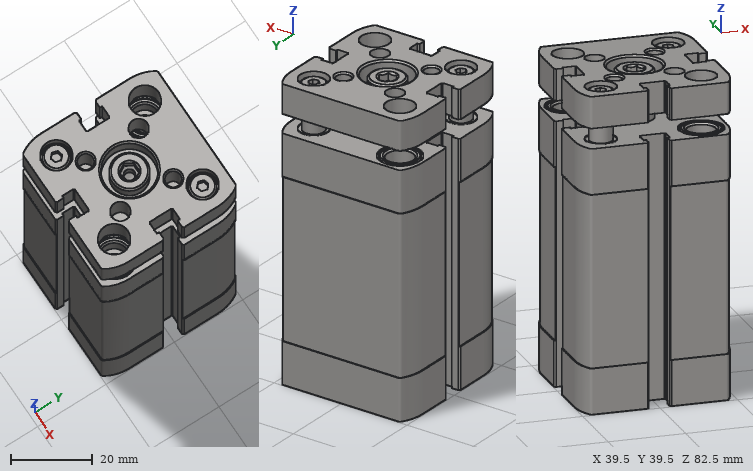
import cadquery as cq
import math

total_height = 82.5
width = 39.5
housing_height = 69.0
cap_height = 12.0
plate_thickness = 8.25
barrel_inset = 0.25
plate_bottom = total_height - plate_thickness

corner_radius = 12.0
corner_flat_end = 13.0
corner_fillet = 0.8
slot_neck_width = 5.45
slot_inner_width = 6.8
slot_neck_depth = 2.3
slot_depth = 5.8
slot_bevel = 0.4
slot_floor_bevel = 0.25
slot_directions = (-90, 0, 180)

rod_offset = 12.95
dowel_offset = 7.75
rod_corners = ((-1, -1), (1, 1))
mount_corners = ((-1, 1), (1, -1))

piston_rod_diameter = 10.0
piston_rod_top_diameter = 9.0
piston_rod_drop = 0.9
flats_width = 9.0
flats_gap = 1.15
guide_rod_diameter = 6.0
rod_engagement = cap_height
recess_diameter = 14.0
recess_chamfer = 0.5
recess_depth = 4.95
socket_mouth_diameter = 5.5
socket_corner_diameter = 5.0
socket_depth = 2.3
pilot_diameter = 3.0
pilot_depth = 1.65
drill_half_angle = math.radians(59)
plate_hole_diameter = 8.0
screw_head_diameter = 7.0
screw_head_chamfer = 0.5
screw_head_drop = 0.9
screw_recess_depth = 2.5
screw_socket_diameter = 3.0
screw_socket_depth = 1.65
screw_socket_turn = 15
dowel_diameter = 5.0
tapped_diameter = 4.1
tapped_chamfer = (dowel_diameter - tapped_diameter) / 2

mount_groove_diameter = 11.5
mount_collar_diameter = 10.5
mount_groove_depth = 0.3
mount_bore_diameter = 7.5
mount_bore_chamfer = 0.5
mount_bore_depth = 4.95
mount_thread_mouth = 5.0
mount_thread_diameter = 4.1
rod_seal_diameter = 8.0
rod_seal_depth = 0.25


def at_corners(corners, offset):
    return [(sx * offset, sy * offset) for sx, sy in corners]


def cylinder(diameter, bottom, top, points=((0, 0),)):
    """Upright cylinders between two heights, one at each point."""
    return (
        cq.Workplane("XY").workplane(offset=bottom).pushPoints(list(points))
        .circle(diameter / 2).extrude(top - bottom)
    )


def cone(bottom_diameter, top_diameter, bottom, top, points=((0, 0),)):
    """Upright cone frustums between two heights, one at each point."""
    axis = cq.Vector(0, 0, 1)
    frustums = cq.Workplane("XY")
    for x, y in points:
        base = cq.Vector(x, y, bottom)
        frustums = frustums.add(
            cq.Solid.makeCone(bottom_diameter / 2, top_diameter / 2, top - bottom, base, axis)
        )
    return frustums.combine()


def hexagon(corner_diameter, bottom, top, points, turn=0):
    """Upright hexagonal prisms between two heights, each turned about its own axis."""
    prisms = cq.Workplane("XY")
    for x, y in points:
        prism = (
            cq.Workplane("XY").workplane(offset=bottom)
            .polygon(6, corner_diameter).extrude(top - bottom)
            .rotate((0, 0, 0), (0, 0, 1), turn).translate((x, y, 0))
        )
        prisms = prisms.add(prism.val())
    return prisms.combine()


def slot(bottom, top, direction):
    """Space of one T-slot that opens at the side facing the given direction."""
    side = width / 2
    neck = slot_neck_width / 2
    inner = slot_inner_width / 2
    floor = side - slot_depth
    ledge = side - slot_neck_depth
    half = [
        (floor, inner - slot_floor_bevel),
        (floor + slot_floor_bevel, inner),
        (ledge, inner),
        (ledge, neck),
        (side - slot_bevel, neck),
        (side, neck + slot_bevel),
        (side + slot_bevel, neck + slot_bevel),
    ]
    outline = half + [(x, -y) for x, y in reversed(half)]
    return (
        cq.Workplane("XY").workplane(offset=bottom).polyline(outline).close()
        .extrude(top - bottom).rotate((0, 0, 0), (0, 0, 1), direction)
    )


def profile_block(bottom, top, inset=0.0):
    """Slotted block between two heights, its sides set back by the inset."""
    side = width / 2 - inset
    arc_center_x = side - corner_radius
    full_turn = math.asin((side - corner_flat_end) / corner_radius)
    corner_x = arc_center_x + corner_radius * math.cos(full_turn)
    mid_x = arc_center_x + corner_radius * math.cos(full_turn / 2)
    mid_y = corner_flat_end + corner_radius * math.sin(full_turn / 2)
    block = (
        cq.Workplane("XY").workplane(offset=bottom)
        .moveTo(side, -corner_flat_end)
        .lineTo(side, corner_flat_end)
        .threePointArc((mid_x, mid_y), (corner_x, side))
        .lineTo(-corner_x, side)
        .threePointArc((-mid_x, mid_y), (-side, corner_flat_end))
        .lineTo(-side, -corner_flat_end)
        .threePointArc((-mid_x, -mid_y), (-corner_x, -side))
        .lineTo(corner_x, -side)
        .threePointArc((mid_x, -mid_y), (side, -corner_flat_end))
        .close().extrude(top - bottom)
    )
    block = block.faces("<Y or >Y").edges("|Z").fillet(corner_fillet)
    for direction in slot_directions:
        block = block.cut(slot(bottom, top, direction))
    return block


def make_housing():
    top = housing_height
    upper_cap_bottom = top - cap_height
    body = (
        profile_block(0, cap_height)
        .union(profile_block(cap_height, upper_cap_bottom, barrel_inset))
        .union(profile_block(upper_cap_bottom, top))
    )

    rods = at_corners(rod_corners, rod_offset)
    rod_bottom = top - rod_engagement
    body = body.cut(cylinder(piston_rod_diameter, rod_bottom, top))
    body = body.cut(cylinder(guide_rod_diameter, rod_bottom, top, rods))
    body = body.cut(cylinder(rod_seal_diameter, top - rod_seal_depth, top, rods))

    mounts = at_corners(mount_corners, rod_offset)
    bore_bottom = top - mount_bore_depth
    thread_start = bore_bottom - (mount_thread_mouth - mount_thread_diameter) / 2
    bore_rim = mount_bore_diameter + 2 * mount_bore_chamfer
    groove_floor = top - mount_groove_depth
    collar_top_diameter = mount_collar_diameter - 2 * mount_groove_depth
    groove = cylinder(mount_groove_diameter, groove_floor, top, mounts).cut(
        cone(mount_collar_diameter, collar_top_diameter, groove_floor, top, mounts)
    )
    body = body.cut(groove)
    body = body.cut(cone(mount_bore_diameter, bore_rim, top - mount_bore_chamfer, top, mounts))
    body = body.cut(cylinder(mount_bore_diameter, bore_bottom, top, mounts))
    body = body.cut(
        cone(mount_thread_diameter, mount_thread_mouth, thread_start, bore_bottom, mounts)
    )
    return body.cut(cylinder(mount_thread_diameter, 0, bore_bottom, mounts))


def make_piston_rod():
    top = total_height - piston_rod_drop
    bottom = housing_height - rod_engagement
    top_chamfer = (piston_rod_diameter - piston_rod_top_diameter) / 2
    rod = cylinder(piston_rod_diameter, bottom, top).faces(">Z").chamfer(top_chamfer)

    flats_bottom = housing_height + flats_gap
    for side in (-1, 1):
        flat = cq.Workplane("XY").box(
            piston_rod_diameter, piston_rod_diameter, plate_bottom - flats_bottom,
            centered=(True, True, False),
        )
        shift = side * (flats_width + piston_rod_diameter) / 2
        rod = rod.cut(flat.translate((0, shift, flats_bottom)))
    return rod


def cut_rod_socket(body):
    """Hexagon socket in the rod end, with a conical floor and a pilot hole below it."""
    top = total_height - piston_rod_drop
    floor = top - socket_depth
    flats_across = socket_corner_diameter * math.cos(math.pi / 6)
    mouth_chamfer = (socket_mouth_diameter - flats_across) / 2
    socket_slope = socket_corner_diameter / 2 / math.tan(drill_half_angle)
    pilot_slope = pilot_diameter / 2 / math.tan(drill_half_angle)
    pilot_floor = floor - socket_slope - pilot_depth
    hex_prism = hexagon(socket_corner_diameter, floor - socket_slope, top, [(0, 0)])
    drill = cylinder(socket_corner_diameter, floor, top).union(
        cone(0, socket_corner_diameter, floor - socket_slope, floor)
    )
    body = body.cut(hex_prism.intersect(drill))
    body = body.cut(cone(flats_across, socket_mouth_diameter, top - mouth_chamfer, top))
    body = body.cut(cylinder(pilot_diameter, pilot_floor, floor))
    return body.cut(cone(0, pilot_diameter, pilot_floor - pilot_slope, pilot_floor))


def make_screw_heads(points):
    top = total_height - screw_head_drop
    heads = cylinder(screw_head_diameter, total_height - screw_recess_depth, top, points)
    heads = heads.faces(">Z").chamfer(screw_head_chamfer)
    socket_floor = top - screw_socket_depth
    sockets = hexagon(screw_socket_diameter, socket_floor, top, points, screw_socket_turn)
    return heads.cut(sockets)


def make_plunger():
    top = total_height
    rods = at_corners(rod_corners, rod_offset)
    plate = profile_block(plate_bottom, top)

    recess_rim = recess_diameter + 2 * recess_chamfer
    plate = plate.cut(cylinder(recess_diameter, top - recess_depth, top))
    plate = plate.cut(cone(recess_diameter, recess_rim, top - recess_chamfer, top))

    mounts = at_corners(mount_corners, rod_offset)
    plate = plate.cut(cylinder(plate_hole_diameter, plate_bottom, top, mounts))
    plate = plate.cut(cylinder(plate_hole_diameter, top - screw_recess_depth, top, rods))

    dowels = at_corners(mount_corners, dowel_offset)
    tapped = at_corners(rod_corners, dowel_offset)
    plate = plate.cut(cylinder(dowel_diameter, plate_bottom, top, dowels))
    plate = plate.cut(cylinder(tapped_diameter, plate_bottom, top, tapped))
    plate = plate.cut(cone(tapped_diameter, dowel_diameter, top - tapped_chamfer, top, tapped))

    guide_rods = cylinder(guide_rod_diameter, housing_height - rod_engagement, plate_bottom, rods)
    plunger = plate.union(make_piston_rod()).union(guide_rods).union(make_screw_heads(rods))
    return cut_rod_socket(plunger)


housing = make_housing().solids()
plunger = make_plunger().solids()

result = cq.Compound.makeCompound([housing.val(), plunger.val()])